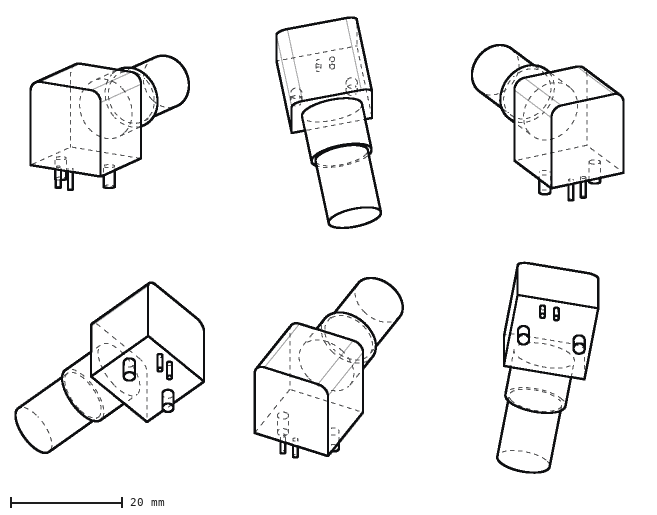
import cadquery as cq

body_width = 14.7
body_depth = 14.0
body_height = 15.8
corner_radius = 2.0

total_length = 34.9
collar_diameter = 11.0
collar_length = 8.83
barrel_diameter = 9.6
barrel_length = total_length - body_depth - collar_length
barrel_axis_height = 8.15

total_height = 19.6
pin_length = total_height - body_height
post_diameter = 2.02
post_offset = 5.05
post_setback = 6.75
contact_diameter = 0.9
contact_pitch = 2.5
contact_setback = 1.65


def make_body():
    """Box with its two upper edges rounded along Y."""
    box = cq.Workplane("XY").box(body_width, body_depth, body_height, centered=(True, False, False))
    return box.edges("|Y and >Z").fillet(corner_radius)


def cylinder_along_y(diameter, start, length):
    """Solid cylinder on the barrel axis, running toward +Y."""
    origin = cq.Vector(0, start, barrel_axis_height)
    return cq.Workplane(cq.Solid.makeCylinder(diameter / 2, length, origin, cq.Vector(0, 1, 0)))


def make_pins(diameter, positions):
    """Round pins reaching down from the underside."""
    return cq.Workplane("XY").pushPoints(positions).circle(diameter / 2).extrude(-pin_length)


collar = cylinder_along_y(collar_diameter, body_depth, collar_length)
barrel = cylinder_along_y(barrel_diameter, body_depth + collar_length, barrel_length)
posts = make_pins(post_diameter, [(-post_offset, post_setback), (post_offset, post_setback)])
contacts = make_pins(contact_diameter, [(-contact_pitch, contact_setback), (0, contact_setback)])

result = make_body().union(collar).union(barrel).union(posts).union(contacts)